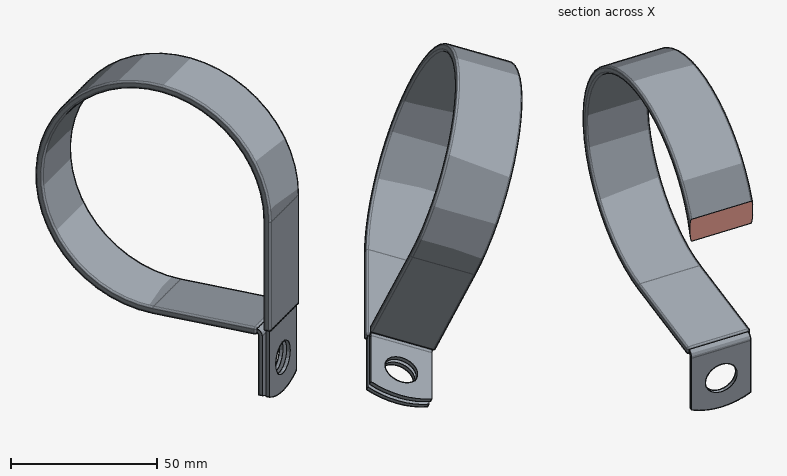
import cadquery as cq
import math

total_height = 113.9
loop_diameter = 88.2
cushion_width = 23.8
cushion_skin = 0.7
strap_thickness = 1.4
leg_gap = 1.4
hole_diameter = 12.0
hole_height = 12.8
tip_rise = 2.6
lower_cushion_end_x = 38.6
bend_inner_radius = 1.0
side_cushion_end_height = 27.9

outer_radius = loop_diameter / 2
strap_outer_radius = outer_radius - cushion_skin
cushion_thickness = strap_thickness + 2 * cushion_skin
strap_width = cushion_width - 2 * cushion_skin
tip_z = outer_radius - total_height
side_cushion_end_z = tip_z + side_cushion_end_height
inner_leg_outer_x = strap_outer_radius - strap_thickness - leg_gap
bend_outer_radius = bend_inner_radius + strap_thickness
bend_x = inner_leg_outer_x - bend_outer_radius


def loop_band(radius, thickness, lower_end_x, side_end_z, width):
    """Three-quarter ring with straight ends, centred on Y."""
    inner_radius = radius - thickness
    outer_mid = radius * math.sqrt(0.5)
    inner_mid = inner_radius * math.sqrt(0.5)
    return (
        cq.Workplane("XZ")
        .moveTo(lower_end_x, -radius)
        .lineTo(0, -radius)
        .threePointArc((-outer_mid, outer_mid), (radius, 0))
        .lineTo(radius, side_end_z)
        .lineTo(inner_radius, side_end_z)
        .lineTo(inner_radius, 0)
        .threePointArc((-inner_mid, inner_mid), (0, -inner_radius))
        .lineTo(lower_end_x, -inner_radius)
        .close()
        .extrude(width / 2, both=True)
    )


def make_cushion():
    """Cushion around the strap, with its rims and end edges rounded."""
    lower_mid_z = cushion_thickness / 2 - outer_radius
    band = loop_band(
        outer_radius, cushion_thickness, lower_cushion_end_x, side_cushion_end_z, cushion_width
    )
    rims = band.faces("<Y or >Y").edges()
    lower_end = band.faces(cq.NearestToPointSelector((lower_cushion_end_x, 0, lower_mid_z))).edges("|Y")
    side_end = band.faces(cq.NearestToPointSelector((-lower_mid_z, 0, side_cushion_end_z))).edges("|Y")
    return rims.add(lower_end).add(side_end).fillet(cushion_skin)


def make_bent_leg():
    """Inner leg, bent down from the lower end of the loop."""
    bend_z = strap_thickness - strap_outer_radius - bend_outer_radius
    outer_mid = bend_outer_radius * math.sqrt(0.5)
    inner_mid = bend_inner_radius * math.sqrt(0.5)
    return (
        cq.Workplane("XZ")
        .moveTo(bend_x, bend_z + bend_outer_radius)
        .threePointArc((bend_x + outer_mid, bend_z + outer_mid), (inner_leg_outer_x, bend_z))
        .lineTo(inner_leg_outer_x, tip_z)
        .lineTo(inner_leg_outer_x - strap_thickness, tip_z)
        .lineTo(inner_leg_outer_x - strap_thickness, bend_z)
        .threePointArc((bend_x + inner_mid, bend_z + inner_mid), (bend_x, bend_z + bend_inner_radius))
        .close()
        .extrude(strap_width / 2, both=True)
    )


def make_leg_outline():
    """Block along +X that trims the strap to its rounded tip and leaves the mounting hole open."""
    half_width = strap_width / 2
    return (
        cq.Workplane("YZ")
        .moveTo(-half_width, outer_radius)
        .lineTo(-half_width, tip_z + tip_rise)
        .threePointArc((0, tip_z), (half_width, tip_z + tip_rise))
        .lineTo(half_width, outer_radius)
        .close()
        .moveTo(0, tip_z + hole_height)
        .circle(hole_diameter / 2)
        .extrude(outer_radius)
    )


strap_loop = loop_band(strap_outer_radius, strap_thickness, bend_x, tip_z, strap_width)
strap = strap_loop.union(make_bent_leg()).intersect(make_leg_outline())
result = make_cushion().union(strap)